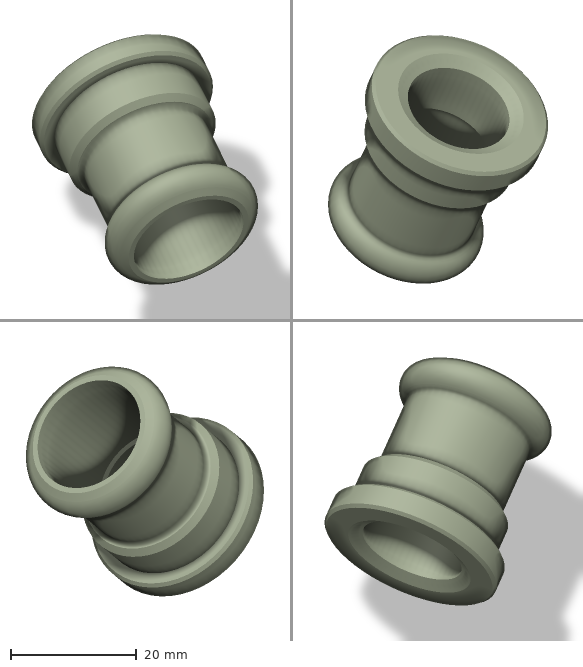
import cadquery as cq
import math

length = 31.0

flange_radius = 29.5 / 2
flange_width = 4.5
flange_chamfer = 0.5
hub_radius = 25.0 / 2
hub_chamfer = 1.0
hub_end = 11.97

tube_radius = 21.3 / 2
hub_fillet = hub_radius - hub_chamfer - tube_radius

bead_arc_radius = 2.9
bead_center_x = 27.78
bead_crest_radius = 12.85
bead_end_angle = math.radians(31)
root_fillet = 0.5

bore_radius = 17.0 / 2
lead_in_rise = 2.0
lead_in_depth = 1.15
socket_radius = 18.7 / 2
socket_start = hub_end - hub_chamfer


def outer_body():
    """Solid of revolution bounded by the outer profile."""
    bead_center_r = bead_crest_radius - bead_arc_radius

    bead_reach = bead_arc_radius * math.cos(bead_end_angle)
    bead_end_radius = bead_center_r + bead_arc_radius * math.sin(bead_end_angle)
    bead_start_x = bead_center_x - bead_reach
    bead_end_x = bead_center_x + bead_reach

    cone_run_per_rise = math.tan(bead_end_angle)
    mouth_radius = bead_end_radius - (length - bead_end_x) / cone_run_per_rise
    root_corner_x = bead_start_x - (bead_end_radius - tube_radius) * cone_run_per_rise

    cone_angle = math.pi / 2 - bead_end_angle
    root_x = root_corner_x - root_fillet * math.tan(cone_angle / 2)

    def root_point(turn):
        return (
            root_x + root_fillet * math.sin(turn),
            tube_radius + root_fillet * (1 - math.cos(turn)),
        )

    fillet_center = (hub_end + hub_fillet, tube_radius + hub_fillet)
    fillet_offset = hub_fillet * math.sqrt(0.5)

    return (
        cq.Workplane("XY")
        .moveTo(0, 0)
        .lineTo(0, flange_radius - flange_chamfer)
        .lineTo(flange_chamfer, flange_radius)
        .lineTo(flange_width - flange_chamfer, flange_radius)
        .lineTo(flange_width, flange_radius - flange_chamfer)
        .lineTo(flange_width, hub_radius)
        .lineTo(hub_end - hub_chamfer, hub_radius)
        .lineTo(hub_end, hub_radius - hub_chamfer)
        .threePointArc(
            (fillet_center[0] - fillet_offset, fillet_center[1] - fillet_offset),
            (fillet_center[0], tube_radius),
        )
        .lineTo(root_x, tube_radius)
        .threePointArc(root_point(cone_angle / 2), root_point(cone_angle))
        .lineTo(bead_start_x, bead_end_radius)
        .threePointArc((bead_center_x, bead_crest_radius), (bead_end_x, bead_end_radius))
        .lineTo(length, mouth_radius)
        .lineTo(length, 0)
        .close()
        .revolve(360, (0, 0, 0), (1, 0, 0))
    )


def inner_passage():
    """Lead-in cone, bore and socket as one revolved cutter."""
    return (
        cq.Workplane("XY")
        .moveTo(0, 0)
        .lineTo(0, bore_radius + lead_in_rise)
        .lineTo(lead_in_depth, bore_radius)
        .lineTo(socket_start, bore_radius)
        .lineTo(socket_start, socket_radius)
        .lineTo(length, socket_radius)
        .lineTo(length, 0)
        .close()
        .revolve(360, (0, 0, 0), (1, 0, 0))
    )


result = outer_body().cut(inner_passage())